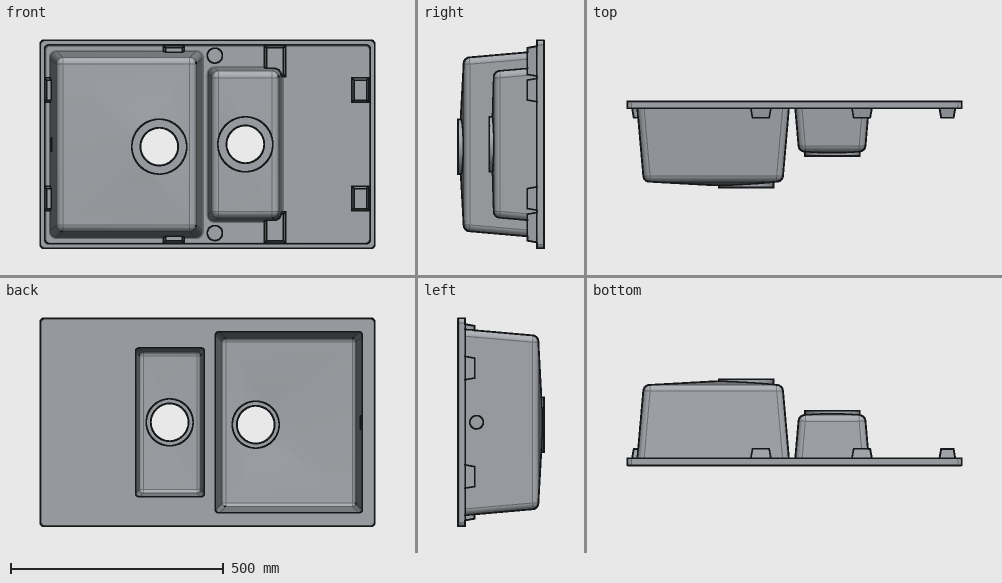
import cadquery as cq

SINK_LENGTH = 786.0
SINK_WIDTH = 489.0
RIM_DEPTH = 17.0
RIM_CORNER_RADIUS = 10.0
RIM_TOP_RADIUS = 2.0
RIM_BORDER = 11.0
PANEL_DEPTH = 9.5
PANEL_LENGTH = SINK_LENGTH - 2 * RIM_BORDER
PANEL_WIDTH = SINK_WIDTH - 2 * RIM_BORDER
RECESS_DRAFT = 5.0

BOWL_DRAFT = 5.0
BOWL_RADIUS = 16.0
WALL = 7.0
ROOT_RADIUS = 2.0
MAIN_BOWL = {
    "centre_x": -191.0,
    "length": 359.0,
    "width": 439.0,
    "floor_depth": 189.0,
    "drain": (-113.0, -5.5),
    "drain_depth": 203.0,
}
SMALL_BOWL = {
    "centre_x": 88.0,
    "length": 176.0,
    "width": 363.0,
    "floor_depth": 119.0,
    "drain": (89.0, 0.0),
    "drain_depth": 129.0,
}
BOWLS = (MAIN_BOWL, SMALL_BOWL)

DRAIN_RING_DIAMETER = 129.0
DRAIN_RING_HEIGHT = 6.0
DRAIN_SEAT_DIAMETER = 110.0
DRAIN_HOLE_DIAMETER = 88.0

OVERFLOW_DIAMETER = 31.5
OVERFLOW_DEPTH = 44.0

KNOCKOUT_DIAMETER = 35.0
KNOCKOUT_RECESS = 4.0
KNOCKOUT_X = 17.0
KNOCKOUT_Z = 208.0

FOOT_DEPTH = 39.0
FOOT_DRAFT = 10.0
END_FOOT_WIDTH = 57.0
END_FOOT_Z = 127.0
END_FOOT_Z_RANGE = (END_FOOT_Z - END_FOOT_WIDTH / 2, END_FOOT_Z + END_FOOT_WIDTH / 2)
SIDE_FOOT_Z_MAX = 232.0
FEET = (
    (-383.0, -361.5, *END_FOOT_Z_RANGE),
    (339.0, 379.0, *END_FOOT_Z_RANGE),
    (-104.0, -54.0, 208.0, SIDE_FOOT_Z_MAX),
    (133.5, 183.0, 159.0, SIDE_FOOT_Z_MAX),
)


def plane_at(depth):
    """Workplane facing -Y at the given depth, with its local x and y along X and Z."""
    return cq.Workplane("XZ", origin=(0, -depth, 0))


def make_rim():
    """Rounded slab, recessed underneath to leave a thin panel inside a deeper rim."""
    slab = (
        plane_at(0)
        .rect(SINK_LENGTH, SINK_WIDTH)
        .extrude(RIM_DEPTH)
        .edges("|Y")
        .fillet(RIM_CORNER_RADIUS)
        .faces(">Y")
        .edges()
        .fillet(RIM_TOP_RADIUS)
    )
    recess = (
        plane_at(RIM_DEPTH)
        .sketch()
        .rect(PANEL_LENGTH, PANEL_WIDTH)
        .vertices()
        .fillet(RIM_CORNER_RADIUS)
        .finalize()
        .extrude(PANEL_DEPTH - RIM_DEPTH, taper=RECESS_DRAFT)
    )
    return slab.cut(recess)


def bowl_form(bowl, inset=0.0):
    """Drafted, round-edged block with a sagging floor, lying `inset` inside the bowl's outer faces."""
    block = (
        plane_at(0)
        .center(bowl["centre_x"], 0)
        .rect(bowl["length"] - 2 * inset, bowl["width"] - 2 * inset)
        .extrude(bowl["floor_depth"] - inset, taper=BOWL_DRAFT)
        .edges("not >Y")
        .fillet(BOWL_RADIUS - inset)
    )
    flat_floor = block.faces("<Y").val()
    drain_x, drain_z = bowl["drain"]
    sag_depth = bowl["drain_depth"] - DRAIN_RING_HEIGHT - inset
    lowest_point = cq.Vector(drain_x, -sag_depth, drain_z)
    sagging_floor = cq.Face.makeNSidedSurface(flat_floor.Edges(), [lowest_point])
    other_faces = [face for face in block.faces().vals() if not face.isSame(flat_floor)]
    return cq.Workplane(cq.Solid.makeSolid(cq.Shell.makeShell(other_faces + [sagging_floor])))


def drain_cylinder(bowl, diameter, lower_depth):
    """Upright cylinder at the drain, from the edge of the bowl's inner floor down to `lower_depth`."""
    upper_depth = bowl["floor_depth"] - WALL
    height = lower_depth - upper_depth
    return plane_at(upper_depth).center(*bowl["drain"]).circle(diameter / 2).extrude(height)


def foot(x_min, x_max, z_min, z_max, side):
    """Drafted block standing on the panel, in the +Z half for side 1 or the -Z half for side -1."""
    return (
        plane_at(PANEL_DEPTH)
        .center((x_min + x_max) / 2, side * (z_min + z_max) / 2)
        .rect(x_max - x_min, z_max - z_min)
        .extrude(FOOT_DEPTH - PANEL_DEPTH, taper=FOOT_DRAFT)
    )


result = make_rim()
for bowl in BOWLS:
    result = result.union(bowl_form(bowl))
near_panel = 1.0
panel_edges = cq.selectors.BoxSelector(
    (-SINK_LENGTH / 2, -PANEL_DEPTH - near_panel, -SINK_WIDTH / 2),
    (SINK_LENGTH / 2, -PANEL_DEPTH + near_panel, SINK_WIDTH / 2),
    boundingbox=True,
)
result = result.edges(panel_edges).fillet(ROOT_RADIUS)

for bowl in BOWLS:
    result = result.union(drain_cylinder(bowl, DRAIN_RING_DIAMETER, bowl["drain_depth"]))

for side in (-1, 1):
    for base in FEET:
        result = result.union(foot(*base, side))
    knockout = (
        plane_at(PANEL_DEPTH)
        .center(KNOCKOUT_X, side * KNOCKOUT_Z)
        .circle(KNOCKOUT_DIAMETER / 2)
        .extrude(-KNOCKOUT_RECESS)
    )
    result = result.cut(knockout)

for bowl in BOWLS:
    result = result.cut(bowl_form(bowl, WALL))
    result = result.cut(drain_cylinder(bowl, DRAIN_SEAT_DIAMETER, bowl["drain_depth"] - WALL))
    result = result.cut(drain_cylinder(bowl, DRAIN_HOLE_DIAMETER, bowl["drain_depth"]))

overflow = (
    cq.Workplane("YZ", origin=(-SINK_LENGTH / 2, -OVERFLOW_DEPTH, 0))
    .circle(OVERFLOW_DIAMETER / 2)
    .extrude(MAIN_BOWL["centre_x"] + SINK_LENGTH / 2)
)
result = result.cut(overflow)